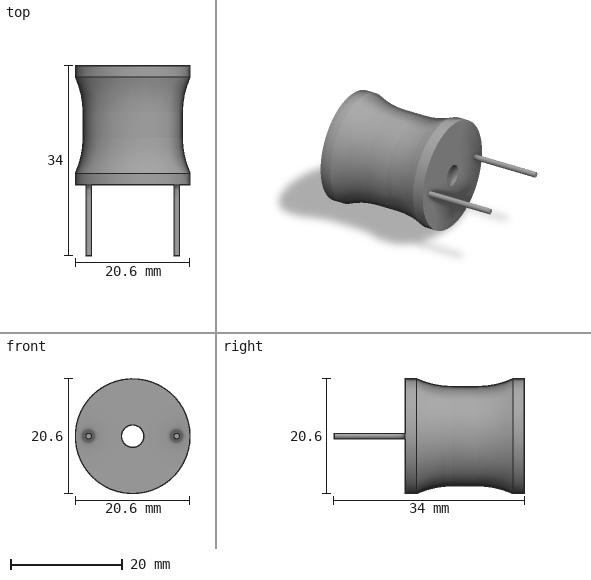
import cadquery as cq
import math

flange_diameter = 20.57
body_length = 21.34
flange_thickness = 2.03
waist_diameter = 17.78
waist_length = 4.5
bore_diameter = 3.96
lead_length = 12.7
lead_diameter = 1.02
lead_spacing = 15.75

flange_radius = flange_diameter / 2
waist_radius = waist_diameter / 2
half_length = body_length / 2
half_waist = waist_length / 2
flange_inner = half_length - flange_thickness

flare_run = flange_inner - half_waist
flare_rise = flange_radius - waist_radius
flare_radius = (flare_run**2 + flare_rise**2) / (2 * flare_rise)
flare_half_angle = math.asin(flare_run / flare_radius) / 2
flare_mid_radius = waist_radius + flare_radius * (1 - math.cos(flare_half_angle))
flare_mid_offset = half_waist + flare_radius * math.sin(flare_half_angle)


def make_body():
    """Spool with two flanges, revolved about the Y axis."""
    profile = (
        cq.Workplane("XY")
        .moveTo(0, -half_length)
        .lineTo(flange_radius, -half_length)
        .lineTo(flange_radius, -flange_inner)
        .threePointArc((flare_mid_radius, -flare_mid_offset), (waist_radius, -half_waist))
        .lineTo(waist_radius, half_waist)
        .threePointArc((flare_mid_radius, flare_mid_offset), (flange_radius, flange_inner))
        .lineTo(flange_radius, half_length)
        .lineTo(0, half_length)
        .close()
    )
    return profile.revolve(360, (0, 0, 0), (0, 1, 0))


def cut_bore(body):
    """Through hole along the spool axis."""
    bore = (
        cq.Workplane("XZ", origin=(0, half_length, 0))
        .circle(bore_diameter / 2)
        .extrude(body_length)
    )
    return body.cut(bore)


def make_leads():
    """Pair of round leads standing on the -Y end face."""
    return (
        cq.Workplane("XZ", origin=(0, -half_length, 0))
        .pushPoints([(side * lead_spacing / 2, 0) for side in (-1, 1)])
        .circle(lead_diameter / 2)
        .extrude(lead_length)
    )


result = cut_bore(make_body()).union(make_leads())